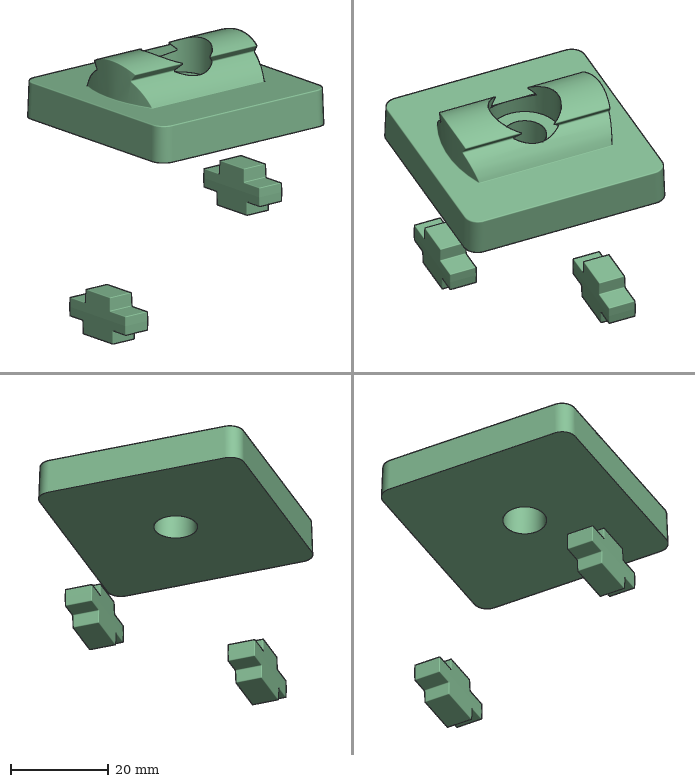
import cadquery as cq
import math

total_height = 59.1
draft_angle = 1.5

plate_side = 45.0
plate_height = 7.8
plate_corner_radius = 3.0
plate_edge_round = 0.25

saddle_top = 16.1
cap_radius = 14.0
flank_radius = 12.0
saddle_axis_height = saddle_top - cap_radius
lip_half_width = 6.7
neck_half_width = 5.45
lip_round = 0.25
neck_round = 0.3
saddle_half_length = 17.1
saddle_end_radius = 27.0
saddle_edge_round = 0.2
foot_round = 0.2

bore_radius = 4.5
counterbore_radius = 7.5
counterbore_floor = 8.1

key_height = 9.8
key_depth = 6.0
wing_width = 18.15
wing_height = 4.0
upper_tab_width = 8.2
lower_tab_width = 9.9
key_edge_round = 0.2
key_offset = 17.9
key_rise = 20.7
front_key_height = saddle_top - total_height + key_height / 2


def arc_height(radius, half_width):
    """Height at which an arc about the saddle axis reaches the given half width."""
    return saddle_axis_height + math.sqrt(radius**2 - half_width**2)


def arc_half_width(radius, height):
    """Half width of an arc about the saddle axis at the given height."""
    return math.sqrt(radius**2 - (height - saddle_axis_height) ** 2)


def mirrored(point):
    return (-point[0], point[1])


def make_plate():
    """Drafted square plate with rounded corners and a small round on its top edge."""
    return (
        cq.Workplane("XY")
        .rect(plate_side, plate_side)
        .extrude(plate_height, taper=draft_angle)
        .edges("not(|X or |Y)")
        .fillet(plate_corner_radius)
        .faces(">Z")
        .edges()
        .fillet(plate_edge_round)
    )


def make_saddle_bar():
    """Saddle section extruded along Y, with rounded lips and necks."""
    lip = (lip_half_width, arc_height(cap_radius, lip_half_width))
    neck = (neck_half_width, arc_height(flank_radius, neck_half_width))
    foot = (arc_half_width(flank_radius, plate_height), plate_height)
    flank_middle_width = (neck[0] + foot[0]) / 2
    flank_middle = (flank_middle_width, arc_height(flank_radius, flank_middle_width))

    bar = (
        cq.Workplane("XZ")
        .moveTo(*mirrored(foot))
        .threePointArc(mirrored(flank_middle), mirrored(neck))
        .lineTo(*mirrored(lip))
        .threePointArc((0, saddle_top), lip)
        .lineTo(*neck)
        .threePointArc(flank_middle, foot)
        .close()
        .extrude(saddle_half_length, both=True)
    )
    bar = bar.edges("|Y").edges(">Z").fillet(lip_round)
    for side in (1, -1):
        neck_edge = cq.selectors.NearestToPointSelector((side * neck[0], 0, neck[1]))
        bar = bar.edges("|Y").edges(neck_edge).fillet(neck_round)
    return bar


def make_saddle():
    """Saddle bar with both ends rounded in plan and their edges softened."""
    saddle = make_saddle_bar()
    for side in (1, -1):
        end_cylinder = (
            cq.Workplane("XY")
            .center(0, side * (saddle_half_length - saddle_end_radius))
            .circle(saddle_end_radius)
            .extrude(total_height)
        )
        saddle = saddle.intersect(end_cylinder)
    for end_face in (">Y", "<Y"):
        saddle = saddle.faces(end_face).edges("not(<Z)").fillet(saddle_edge_round)
    return saddle


def make_mount():
    """Plate and saddle in one body, blended at the foot and bored through."""
    body = make_plate().union(make_saddle())
    margin = foot_round
    half_width = arc_half_width(flank_radius, plate_height) + margin
    half_length = saddle_half_length + margin
    foot_region = cq.selectors.BoxSelector(
        (-half_width, -half_length, plate_height - margin),
        (half_width, half_length, plate_height + margin),
    )
    body = body.edges(foot_region).fillet(foot_round)

    counterbore = (
        cq.Workplane("XY", origin=(0, 0, counterbore_floor))
        .circle(counterbore_radius)
        .extrude(saddle_top)
    )
    bore = cq.Workplane("XY").circle(bore_radius).extrude(saddle_top)
    return body.cut(counterbore).cut(bore)


def make_key_half(tab_width, direction):
    """Half of a key, drafted away from the parting plane (direction 1 up, -1 down)."""
    wings = (
        cq.Workplane("XY")
        .rect(wing_width, key_depth)
        .extrude(direction * wing_height / 2, taper=draft_angle)
    )
    tab = (
        cq.Workplane("XY")
        .rect(tab_width, key_depth)
        .extrude(direction * key_height / 2, taper=draft_angle)
    )
    parting_face = "<Z" if direction > 0 else ">Z"
    return wings.union(tab).edges(f"not({parting_face})").fillet(key_edge_round)


def make_key():
    return make_key_half(upper_tab_width, 1).union(make_key_half(lower_tab_width, -1))


mount = make_mount()

keys = []
for y, z in ((-key_offset, front_key_height), (key_offset, front_key_height + key_rise)):
    keys.append(make_key().translate((0, y, z)))

result = cq.Compound.makeCompound([mount.val(), *[key.val() for key in keys]])